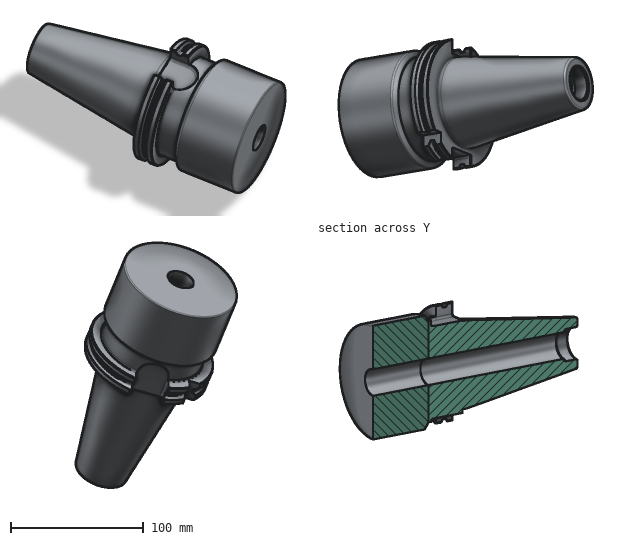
import cadquery as cq
import math


total_length = 186.6
gauge_x = 101.3
flange_x = 104.7
flange_width = 15.7
nut_x = 136.2

gauge_radius = 34.9
taper_ratio = 7 / 24
tip_fillet = 1.9
shank_root_fillet = 0.4

flange_radius = 48.7
flange_rim_chamfer = 0.5
neck_radius = 40.0
neck_fillet = 1.1

groove_root_radius = 45.5
groove_root_width = 2.6
groove_mouth_width = 6.5
groove_root_fillet = 0.7
groove_center_x = 112.5

slot_width = 25.8
slot_end_x = 133.5
upper_slot_floor = 35.5
lower_slot_floor = 37.7
slot_floor_fillet = 1.9
slot_edge_chamfer = 1.1
slot_mouth_chamfer = 0.7

notch_corner_y = 29.5
notch_corner_z = -29.9

bore_radius = 10.3
counterbore_radius = 12.5
counterbore_depth = 11.4
counterbore_mouth_chamfer = 1.1
counterbore_floor_fillet = 0.7

nut_radius = 45.0
nut_back_radius = 40.7
nut_bevel_length = 3.0
nut_front_fillet = 1.0
nut_shoulder_fillet = 1.9
nut_back_fillet = 0.7

cutter_overrun = 1.9
selection_margin = 0.2
bevel_angle = 45

tip_radius = gauge_radius - gauge_x * taper_ratio / 2
flange_end_x = flange_x + flange_width
bore_cone_radius = counterbore_radius - counterbore_floor_fillet
slot_half_width = slot_width / 2
slot_straight_end_x = slot_end_x - slot_half_width


def revolve_about_x(points):
    """Solid of revolution about X from an (X, radius) outline."""
    return cq.Workplane("XZ").polyline(points).close().revolve(360, (0, 0), (1, 0))


def circle_edges_at(x, radius):
    """Selector for the circular edges around the X axis at one place and radius."""
    reach = radius + selection_margin
    return cq.selectors.BoxSelector(
        (x - selection_margin, -reach, -reach),
        (x + selection_margin, reach, reach),
        boundingbox=True,
    )


def make_turned_blank():
    """Taper, flange and neck before any cutting."""
    shank = revolve_about_x([
        (0, 0),
        (0, tip_radius),
        (gauge_x, gauge_radius),
        (flange_x, gauge_radius),
        (flange_x, 0),
    ])
    shank = shank.faces("<X").edges().fillet(tip_fillet)

    groove_root_half = groove_root_width / 2
    groove_mouth_half = groove_mouth_width / 2
    fillet_middle = neck_fillet * (1 - math.sqrt(0.5))
    flange_and_neck = (
        cq.Workplane("XZ")
        .moveTo(flange_x, 0)
        .lineTo(flange_x, flange_radius - flange_rim_chamfer)
        .lineTo(flange_x + flange_rim_chamfer, flange_radius)
        .lineTo(groove_center_x - groove_mouth_half, flange_radius)
        .lineTo(groove_center_x - groove_root_half, groove_root_radius)
        .lineTo(groove_center_x + groove_root_half, groove_root_radius)
        .lineTo(groove_center_x + groove_mouth_half, flange_radius)
        .lineTo(flange_end_x - flange_rim_chamfer, flange_radius)
        .lineTo(flange_end_x, flange_radius - flange_rim_chamfer)
        .lineTo(flange_end_x, neck_radius + neck_fillet)
        .threePointArc(
            (flange_end_x + fillet_middle, neck_radius + fillet_middle),
            (flange_end_x + neck_fillet, neck_radius),
        )
        .lineTo(nut_x, neck_radius)
        .lineTo(nut_x, 0)
        .close()
        .revolve(360, (0, 0), (1, 0))
    )
    blank = shank.union(flange_and_neck)
    for side in (-1, 1):
        root_edge = circle_edges_at(groove_center_x + side * groove_root_half, groove_root_radius)
        blank = blank.edges(root_edge).fillet(groove_root_fillet)
    return blank.edges(circle_edges_at(flange_x, gauge_radius)).fillet(shank_root_fillet)


def make_slot_cutter(floor):
    """Drive slot at +Z: round end toward the nut, filleted floor, bevelled edges."""
    height = flange_radius - floor + cutter_overrun
    start_x = flange_x - cutter_overrun
    channel = (
        cq.Workplane("XY", origin=(0, 0, floor))
        .moveTo(start_x, -slot_half_width)
        .lineTo(slot_straight_end_x, -slot_half_width)
        .threePointArc((slot_end_x, 0), (slot_straight_end_x, slot_half_width))
        .lineTo(start_x, slot_half_width)
        .close()
        .extrude(height)
    )
    channel = channel.faces("<Z").edges("not <X").fillet(slot_floor_fillet)

    mouth = (
        cq.Workplane("XY", origin=(flange_x, 0, floor))
        .box(slot_half_width, slot_width + 2 * slot_mouth_chamfer, height, centered=(False, True, False))
        .edges("|X and <Z")
        .fillet(slot_floor_fillet)
        .faces("<X")
        .wires()
        .toPending()
        .workplane()
        .extrude(-slot_half_width, taper=bevel_angle, combine=False)
    )

    rim_z = math.sqrt(flange_radius ** 2 - slot_half_width ** 2)
    bevel_bottom = rim_z - slot_edge_chamfer
    bevel_rise = flange_radius - bevel_bottom
    rim_bevel = (
        cq.Workplane("YZ", origin=(flange_x, 0, 0))
        .polyline([
            (-slot_half_width, bevel_bottom),
            (slot_half_width, bevel_bottom),
            (slot_half_width + bevel_rise, flange_radius),
            (-slot_half_width - bevel_rise, flange_radius),
        ])
        .close()
        .extrude(flange_width)
    )
    return channel.union(mouth).union(rim_bevel)


def make_notch_cutter():
    """Square-cornered notch through the whole flange width."""
    return (
        cq.Workplane("XY")
        .box(flange_width, flange_radius, flange_radius, centered=False)
        .translate((flange_x, notch_corner_y, notch_corner_z - flange_radius))
    )


def make_bore_cutter():
    """Through bore with a counterbore at the tip: filleted floor, then a 45 degree cone."""
    mouth_radius = counterbore_radius + counterbore_mouth_chamfer
    fillet_start_x = counterbore_depth - counterbore_floor_fillet
    fillet_reach = counterbore_floor_fillet * math.sqrt(0.5)
    return (
        cq.Workplane("XZ")
        .moveTo(0, 0)
        .lineTo(0, mouth_radius)
        .lineTo(counterbore_mouth_chamfer, counterbore_radius)
        .lineTo(fillet_start_x, counterbore_radius)
        .threePointArc(
            (fillet_start_x + fillet_reach, bore_cone_radius + fillet_reach),
            (counterbore_depth, bore_cone_radius),
        )
        .lineTo(counterbore_depth + bore_cone_radius - bore_radius, bore_radius)
        .lineTo(total_length, bore_radius)
        .lineTo(total_length, 0)
        .close()
        .revolve(360, (0, 0), (1, 0))
    )


def make_holder():
    """Taper shank, flange and neck in one body, with its slots, notch and bore."""
    holder = make_turned_blank()
    holder = holder.cut(make_slot_cutter(upper_slot_floor))
    holder = holder.cut(make_slot_cutter(lower_slot_floor).rotate((0, 0, 0), (1, 0, 0), 180))
    holder = holder.cut(make_notch_cutter())
    return holder.cut(make_bore_cutter())


def make_nut():
    """Cylindrical nut butted against the end of the neck, bored like the holder."""
    bevel_end_x = nut_x + nut_bevel_length
    nut = revolve_about_x([
        (nut_x, 0),
        (nut_x, nut_back_radius),
        (bevel_end_x, nut_radius),
        (total_length, nut_radius),
        (total_length, 0),
    ])
    nut = nut.edges(circle_edges_at(total_length, nut_radius)).fillet(nut_front_fillet)
    nut = nut.edges(circle_edges_at(bevel_end_x, nut_radius)).fillet(nut_shoulder_fillet)
    nut = nut.edges(circle_edges_at(nut_x, nut_back_radius)).fillet(nut_back_fillet)
    return nut.cut(make_bore_cutter())


holder = make_holder()
nut = make_nut()

result = cq.Compound.makeCompound([holder.val(), nut.val()])